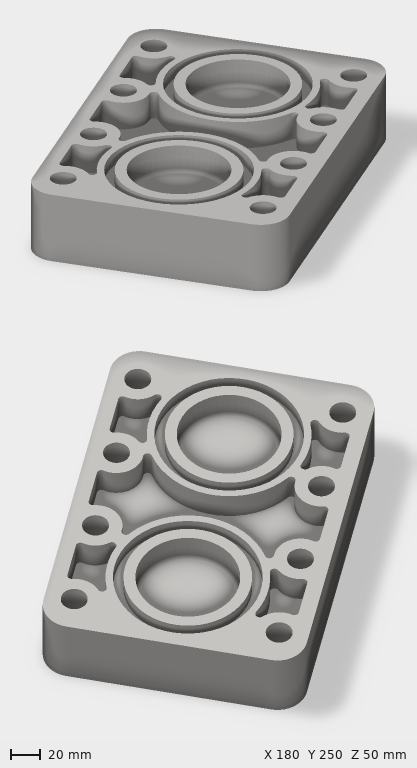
import cadquery as cq

WIDTH = 180.0
LENGTH = 250.0
HEIGHT = 50.0
CORNER_RADIUS = 20.0

BOLT_DIAMETER = 18.0
BOLT_X = 70.0
OUTER_BOLT_Y = 100.0
INNER_BOLT_Y = 33.0
BOLT_LAND_RADIUS = BOLT_DIAMETER

SEAT_Y = 65.0
BORE_DIAMETER = 70.0
BORE_DEPTH = 20.0
BORE_FLOOR_FILLET = 3.0
GROOVE_INNER_DIAMETER = 86.0
GROOVE_OUTER_DIAMETER = 100.0
GROOVE_DEPTH = 10.0
SEAT_WALL = 5.0

POCKET_DEPTH = 20.0
POCKET_CORNER_RADIUS = 3.0
SIDE_WALL = 11.0
POCKET_END_Y = 90.0

BOLT_POINTS = [(x, y) for x in (-BOLT_X, BOLT_X)
               for y in (-OUTER_BOLT_Y, -INNER_BOLT_Y, INNER_BOLT_Y, OUTER_BOLT_Y)]
SEAT_POINTS = [(0, -SEAT_Y), (0, SEAT_Y)]


def make_plate():
    plate = cq.Workplane("XY").box(WIDTH, LENGTH, HEIGHT, centered=(True, True, False))
    return plate.edges("|Z").fillet(CORNER_RADIUS)


def cylinders(points, radius, floor_z):
    """Cylinders from floor_z up to the top face."""
    base = cq.Workplane("XY").workplane(offset=floor_z)
    return base.pushPoints(points).circle(radius).extrude(HEIGHT - floor_z)


def make_seats():
    """Material removed by both bores and their ring grooves."""
    bores = cylinders(SEAT_POINTS, BORE_DIAMETER / 2, HEIGHT - BORE_DEPTH)
    bores = bores.faces("<Z").edges().fillet(BORE_FLOOR_FILLET)
    groove_floor = HEIGHT - GROOVE_DEPTH
    grooves = cylinders(SEAT_POINTS, GROOVE_OUTER_DIAMETER / 2, groove_floor)
    grooves = grooves.cut(cylinders(SEAT_POINTS, GROOVE_INNER_DIAMETER / 2, groove_floor))
    return bores.union(grooves)


def make_pockets():
    """Five pockets with every corner rounded.

    Each outline is first drawn one corner radius inside its walls, where the widened
    seats and lands separate it from its neighbours, then offset outward to the walls.
    """
    inset = POCKET_CORNER_RADIUS
    floor_z = HEIGHT - POCKET_DEPTH
    seat_radius = GROOVE_OUTER_DIAMETER / 2 + SEAT_WALL
    cores = (
        cq.Workplane("XY").workplane(offset=floor_z)
        .rect(WIDTH - 2 * (SIDE_WALL + inset), 2 * POCKET_END_Y)
        .extrude(POCKET_DEPTH)
        .cut(cylinders(SEAT_POINTS, seat_radius + inset, floor_z))
        .cut(cylinders(BOLT_POINTS, BOLT_LAND_RADIUS + inset, floor_z))
    )
    outlines = cores.faces("<Z").wires()
    return outlines.toPending().offset2D(inset, "arc").extrude(POCKET_DEPTH)


bolt_holes = cylinders(BOLT_POINTS, BOLT_DIAMETER / 2, 0)
result = make_plate().cut(bolt_holes).cut(make_seats()).cut(make_pockets())